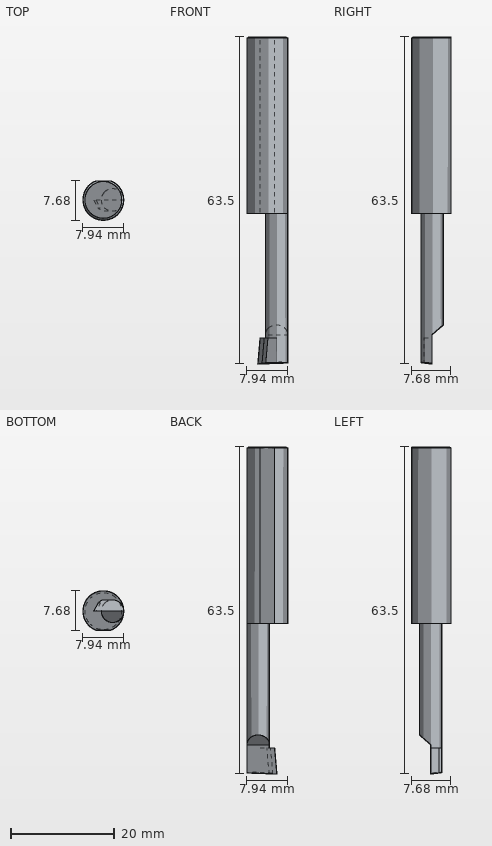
import cadquery as cq
import math


total_length = 63.5
shoulder_z = 29.2

shank_diameter = 7.94
shank_width_over_flat = 7.68
shank_radius = shank_diameter / 2
shank_flat_y = shank_width_over_flat - shank_radius
end_chamfer_radial = 0.4
end_chamfer_angle = 30.0

neck_diameter = 4.37
neck_radius = neck_diameter / 2
neck_x = shank_radius - neck_radius

rake_face_top_z = 5.7
relief_run_out_angle = 41.0

tooth_height = 5.1
tooth_lean_angle = 5.0
tip_x = -1.87
flank_edge_x = -1.05
flank_edge_y = -1.57
heel_edge_x = -0.33

end_clearance_angle_x = 2.0
end_clearance_angle_y = 6.0

overrun = 2.0


def tan_deg(angle):
    return math.tan(math.radians(angle))


def make_shank():
    length = total_length - shoulder_z
    shank = cq.Workplane("XY").workplane(offset=shoulder_z).circle(shank_radius).extrude(length)
    chamfer_axial = end_chamfer_radial * tan_deg(end_chamfer_angle)
    shank = shank.faces(">Z").edges().chamfer(chamfer_axial, end_chamfer_radial)
    flat_cutter = (
        cq.Workplane("XY")
        .workplane(offset=shoulder_z)
        .center(0, shank_flat_y + shank_radius)
        .rect(2 * shank_diameter, shank_diameter)
        .extrude(length)
    )
    return shank.cut(flat_cutter)


def make_neck():
    neck = cq.Workplane("XY").center(neck_x, 0).circle(neck_radius).extrude(shoulder_z)
    outer_y = neck_radius + overrun
    outer_z = rake_face_top_z + outer_y * tan_deg(relief_run_out_angle)
    relief = (
        cq.Workplane("YZ")
        .workplane(offset=neck_x)
        .moveTo(0, -overrun)
        .lineTo(0, rake_face_top_z)
        .lineTo(outer_y, outer_z)
        .lineTo(outer_y, -overrun)
        .close()
        .extrude(neck_radius + overrun, both=True)
    )
    return neck.cut(relief)


def make_tooth():
    lean = tooth_height * tan_deg(tooth_lean_angle)
    section = [
        (tip_x, 0),
        (flank_edge_x, flank_edge_y),
        (heel_edge_x, -neck_radius),
        (neck_x, -neck_radius),
        (neck_x, 0),
    ]
    leaned = [(x + lean, y) for x, y in section[:3]] + section[3:]
    return (
        cq.Workplane("XY")
        .polyline(section)
        .close()
        .workplane(offset=tooth_height)
        .polyline(leaned)
        .close()
        .loft(ruled=True)
    )


def make_end_clearance():
    normal = (-tan_deg(end_clearance_angle_x), tan_deg(end_clearance_angle_y), 1)
    end_plane = cq.Plane(origin=(tip_x, 0, 0), xDir=(1, 0, -normal[0]), normal=normal)
    return cq.Workplane(end_plane).rect(2 * shank_diameter, 2 * shank_diameter).extrude(-overrun)


bar = make_shank().union(make_neck()).union(make_tooth())
result = bar.cut(make_end_clearance())